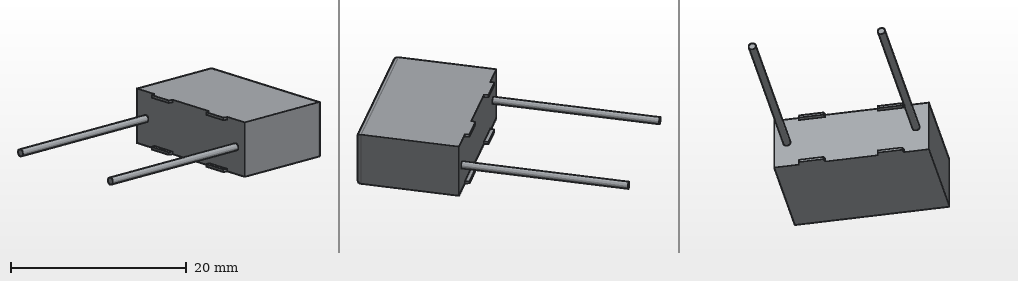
import cadquery as cq

TOTAL_LENGTH = 31.5
CASE_WIDTH = 18.0
CASE_LENGTH = 12.0
CASE_THICKNESS = 6.5
BACK_FILLET = 0.5

FOOT_HEIGHT = 0.5
FOOT_THICKNESS = 0.3
FOOT_ROOT_WIDTH = 3.1
FOOT_TIP_WIDTH = 2.85
FOOT_SPACING = 9.15

LEAD_DIAMETER = 0.85
LEAD_SPACING = 15.0
LEAD_LENGTH = TOTAL_LENGTH - CASE_LENGTH

LEAD_CENTERS = [-LEAD_SPACING / 2, LEAD_SPACING / 2]
FOOT_CENTERS = [-FOOT_SPACING / 2, FOOT_SPACING / 2]
FOOT_BOTTOMS = [-CASE_THICKNESS / 2, CASE_THICKNESS / 2 - FOOT_THICKNESS]


def make_foot(center_x, bottom_z):
    """Thin foot that narrows from its root on the case to its tip."""
    half_root = FOOT_ROOT_WIDTH / 2
    half_tip = FOOT_TIP_WIDTH / 2
    return (
        cq.Workplane("XY", origin=(center_x, 0, bottom_z))
        .moveTo(-half_root, 0)
        .lineTo(-half_tip, -FOOT_HEIGHT)
        .lineTo(half_tip, -FOOT_HEIGHT)
        .lineTo(half_root, 0)
        .close()
        .extrude(FOOT_THICKNESS)
    )


def make_case():
    """Block with a rounded back rim and four feet flush with its broad faces."""
    case = (
        cq.Workplane("XY")
        .box(CASE_WIDTH, CASE_LENGTH, CASE_THICKNESS)
        .translate((0, CASE_LENGTH / 2, 0))
        .faces(">Y")
        .edges()
        .fillet(BACK_FILLET)
    )
    for center_x in FOOT_CENTERS:
        for bottom_z in FOOT_BOTTOMS:
            case = case.union(make_foot(center_x, bottom_z))
    return case


def make_lead(center_x):
    """Round wire that starts on the lead face of the case."""
    lead_start = cq.Workplane("XZ", origin=(center_x, 0, 0))
    return lead_start.circle(LEAD_DIAMETER / 2).extrude(LEAD_LENGTH)


case = make_case()
leads = [make_lead(center_x) for center_x in LEAD_CENTERS]

result = cq.Compound.makeCompound([case.val(), *[lead.val() for lead in leads]])